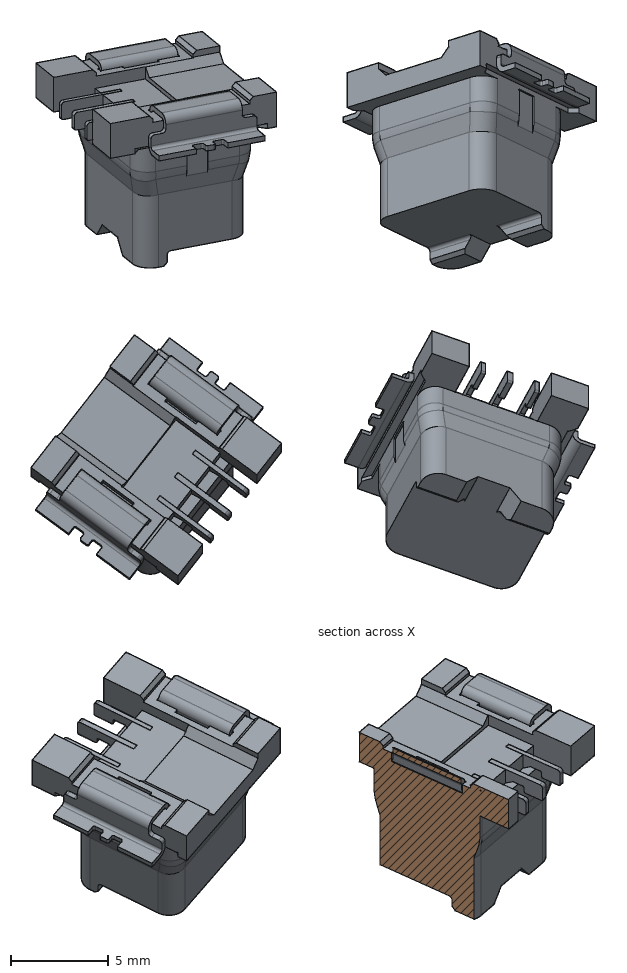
import cadquery as cq


FLANGE_TOP = 1.95
FLANGE_HALF_X = 4.41
FLANGE_BACK = 4.31
FLANGE_FRONT = -5.19
LEDGE_Z = 1.57
LEDGE_BACK = 2.78
LEDGE_FRONT = -2.75
CORNER_CHAMFER = 0.2

CHANNEL_HALF_X = 2.31
CHANNEL_FLOOR_HALF_X = 1.84
CHANNEL_SLOPE_TOP = 1.6
CHANNEL_FLOOR_Z = 1.13
PIN_FLOOR_Z = 0.89
PIN_FLOOR_BACK = 0.05
PIN_FLOOR_FRONT = -2.82

UNDERCUT_HEIGHT = 0.28
UNDERCUT_END_Y = 3.79

BODY_HALF_X = 4.0
BODY_HALF_Y = 3.4
BODY_INSET = 0.3
BODY_CORNER_R = 1.0
TAPER_TOP = -1.65
TAPER_BOTTOM = -2.88
TAPER_BLEND_R = 2.0
TAPER_OVERRUN = 0.5
RIM_TOLERANCE = 0.01
PART_HEIGHT = 8.9
BODY_BOTTOM = FLANGE_TOP - PART_HEIGHT
LIP_HEIGHT = 0.8
LIP_BACK = -1.59
LIP_EDGE = 0.2
LIP_NOTCH_TOP_HALF_X = 0.895
LIP_NOTCH_BOTTOM_HALF_X = 1.53
SIDE_FLAT_HALF_Y = 0.6
SIDE_FLAT_DEPTH = 0.09

CLIP_THICKNESS = 0.29
CLIP_OUTER_X = 4.76
CLIP_HALF_Y = 3.03
CLIP_TOP_HALF_Y = 2.19
CLIP_STEP_Z = 1.02
CLIP_STEP_R = 0.2
CLIP_BEND_R = 0.48
CLIP_TIP_X = 2.83
CLIP_FOOT_X = 5.7
CLIP_FOOT_Z = -0.05
FOOT_NOTCH_X = 5.18
FOOT_NOTCH_HALF_Y = 0.9
FOOT_TONGUE_X = 5.6
FOOT_TONGUE_HALF_Y = 0.27
FOOT_EDGE = 0.1
SLOT_FLOOR_Z = 1.0
SLOT_OUTER_X = 3.15
SLOT_HALF_Y = 2.25
SLOT_POCKET_X = 2.63
SLOT_POCKET_HALF_Y = 1.0

PIN_PITCH = 1.51
PIN_WIDTH = 0.25
MIDDLE_PIN_WIDTH = 0.3
PIN_TOP = 0.91
PIN_BACK = -1.73
PIN_TIP = FLANGE_FRONT
PIN_BOTTOM = -0.08
PIN_ARCH_Z = 0.32
PIN_ARCH_FRONT = -4.0
PIN_ARCH_BACK = -3.3
PIN_TIP_R = 0.2
PIN_FOOT_R = 0.1


def box(x0, x1, y0, y1, z0, z1):
    return cq.Workplane("XY").box(x1 - x0, y1 - y0, z1 - z0, centered=False).translate((x0, y0, z0))


def both_sides(shape):
    return shape.union(shape.mirror("YZ"))


def make_flange():
    flange = box(-FLANGE_HALF_X, FLANGE_HALF_X, FLANGE_FRONT, FLANGE_BACK, 0, FLANGE_TOP)

    chamfer_z = FLANGE_TOP - CORNER_CHAMFER
    ledge_cut = (
        cq.Workplane("YZ")
        .moveTo(LEDGE_FRONT, LEDGE_Z)
        .lineTo(LEDGE_BACK, LEDGE_Z)
        .lineTo(LEDGE_BACK, chamfer_z)
        .lineTo(LEDGE_BACK + CORNER_CHAMFER, FLANGE_TOP)
        .lineTo(LEDGE_FRONT - CORNER_CHAMFER, FLANGE_TOP)
        .lineTo(LEDGE_FRONT, chamfer_z)
        .close()
        .extrude(FLANGE_HALF_X, both=True)
    )
    channel_cut = (
        cq.Workplane("XZ", origin=(0, FLANGE_BACK, 0))
        .moveTo(-CHANNEL_HALF_X, FLANGE_TOP)
        .lineTo(-CHANNEL_HALF_X, CHANNEL_SLOPE_TOP)
        .lineTo(-CHANNEL_FLOOR_HALF_X, CHANNEL_FLOOR_Z)
        .lineTo(CHANNEL_FLOOR_HALF_X, CHANNEL_FLOOR_Z)
        .lineTo(CHANNEL_HALF_X, CHANNEL_SLOPE_TOP)
        .lineTo(CHANNEL_HALF_X, FLANGE_TOP)
        .close()
        .extrude(FLANGE_BACK - PIN_FLOOR_BACK)
    )
    pin_floor_cut = box(
        -CHANNEL_HALF_X, CHANNEL_HALF_X, FLANGE_FRONT, PIN_FLOOR_BACK, PIN_FLOOR_Z, FLANGE_TOP
    )
    front_gap = box(-CHANNEL_HALF_X, CHANNEL_HALF_X, FLANGE_FRONT, PIN_FLOOR_FRONT, 0, FLANGE_TOP)
    undercut = (
        cq.Workplane("XY")
        .moveTo(FLANGE_HALF_X, -UNDERCUT_END_Y)
        .lineTo(FLANGE_HALF_X, UNDERCUT_END_Y)
        .lineTo(BODY_HALF_X, BODY_HALF_Y)
        .lineTo(BODY_HALF_X, -BODY_HALF_Y)
        .close()
        .extrude(UNDERCUT_HEIGHT)
    )
    flange = flange.cut(ledge_cut).cut(channel_cut).cut(pin_floor_cut).cut(front_gap)
    return flange.cut(both_sides(undercut)).cut(both_sides(make_clip_slot()))


def make_clip_slot():
    slot = box(CLIP_TIP_X, SLOT_OUTER_X, -SLOT_HALF_Y, SLOT_HALF_Y, SLOT_FLOOR_Z, FLANGE_TOP)
    pocket = box(
        SLOT_POCKET_X, CLIP_TIP_X, -SLOT_POCKET_HALF_Y, SLOT_POCKET_HALF_Y, SLOT_FLOOR_Z, FLANGE_TOP
    )
    return slot.union(pocket)


def make_tapered_section():
    """Upper body with its taper, run on past TAPER_BOTTOM so that it ends inside the lower body."""
    end_z = TAPER_BOTTOM - TAPER_OVERRUN
    end_inset = BODY_INSET * (TAPER_TOP - end_z) / (TAPER_TOP - TAPER_BOTTOM)
    upper = box(-BODY_HALF_X, BODY_HALF_X, -BODY_HALF_Y, BODY_HALF_Y, TAPER_TOP, 0)
    taper = (
        cq.Workplane("XY", origin=(0, 0, TAPER_TOP))
        .rect(2 * BODY_HALF_X, 2 * BODY_HALF_Y)
        .workplane(offset=end_z - TAPER_TOP)
        .rect(2 * (BODY_HALF_X - end_inset), 2 * (BODY_HALF_Y - end_inset))
        .loft()
    )
    section = upper.union(taper)
    rim = cq.selectors.BoxSelector(
        (-2 * BODY_HALF_X, -2 * BODY_HALF_Y, TAPER_TOP - RIM_TOLERANCE),
        (2 * BODY_HALF_X, 2 * BODY_HALF_Y, TAPER_TOP + RIM_TOLERANCE),
    )
    section = section.edges(rim).fillet(TAPER_BLEND_R)
    return section.edges("not(#Z)").edges("not(|X or |Y)").fillet(BODY_CORNER_R)


def make_body():
    lower = (
        cq.Workplane("XY", origin=(0, 0, BODY_BOTTOM))
        .rect(2 * (BODY_HALF_X - BODY_INSET), 2 * (BODY_HALF_Y - BODY_INSET))
        .extrude(TAPER_TOP - BODY_BOTTOM)
        .edges("|Z")
        .fillet(BODY_CORNER_R)
    )
    body = make_tapered_section().union(lower)
    return body.cut(make_rear_step()).cut(make_lip_notch()).cut(make_side_flats())


def make_rear_step():
    step_z = BODY_BOTTOM + LIP_HEIGHT
    return (
        cq.Workplane("YZ")
        .moveTo(BODY_HALF_Y, step_z)
        .lineTo(LIP_BACK + LIP_EDGE, step_z)
        .radiusArc((LIP_BACK, step_z - LIP_EDGE), -LIP_EDGE)
        .lineTo(LIP_BACK, BODY_BOTTOM + LIP_EDGE)
        .lineTo(LIP_BACK - LIP_EDGE, BODY_BOTTOM)
        .lineTo(BODY_HALF_Y, BODY_BOTTOM)
        .close()
        .extrude(BODY_HALF_X, both=True)
    )


def make_lip_notch():
    notch_z = BODY_BOTTOM + LIP_HEIGHT
    return (
        cq.Workplane("XZ")
        .moveTo(-LIP_NOTCH_BOTTOM_HALF_X, BODY_BOTTOM)
        .lineTo(-LIP_NOTCH_TOP_HALF_X, notch_z)
        .lineTo(LIP_NOTCH_TOP_HALF_X, notch_z)
        .lineTo(LIP_NOTCH_BOTTOM_HALF_X, BODY_BOTTOM)
        .close()
        .extrude(BODY_HALF_Y)
    )


def make_side_flats():
    flat = box(
        BODY_HALF_X - SIDE_FLAT_DEPTH, BODY_HALF_X, -SIDE_FLAT_HALF_Y, SIDE_FLAT_HALF_Y, TAPER_BOTTOM, 0
    )
    return both_sides(flat)


def make_clip():
    """Bent sheet clip on the +X side: hook tip, flat top, upright plate and solder foot."""
    inner_r = CLIP_BEND_R - CLIP_THICKNESS
    plate_inner_x = CLIP_OUTER_X - CLIP_THICKNESS
    foot_top = CLIP_FOOT_Z + CLIP_THICKNESS
    under_top = FLANGE_TOP - CLIP_THICKNESS
    bend_z = FLANGE_TOP - CLIP_BEND_R
    tip_inner_x = CLIP_TIP_X + CLIP_THICKNESS
    strip = (
        cq.Workplane("XZ")
        .moveTo(CLIP_TIP_X, SLOT_FLOOR_Z)
        .lineTo(CLIP_TIP_X, bend_z)
        .radiusArc((CLIP_TIP_X + CLIP_BEND_R, FLANGE_TOP), CLIP_BEND_R)
        .lineTo(CLIP_OUTER_X - CLIP_BEND_R, FLANGE_TOP)
        .radiusArc((CLIP_OUTER_X, bend_z), CLIP_BEND_R)
        .lineTo(CLIP_OUTER_X, foot_top + inner_r)
        .radiusArc((CLIP_OUTER_X + inner_r, foot_top), -inner_r)
        .lineTo(CLIP_FOOT_X, foot_top)
        .lineTo(CLIP_FOOT_X, CLIP_FOOT_Z)
        .lineTo(plate_inner_x + CLIP_BEND_R, CLIP_FOOT_Z)
        .radiusArc((plate_inner_x, CLIP_FOOT_Z + CLIP_BEND_R), CLIP_BEND_R)
        .lineTo(plate_inner_x, bend_z)
        .radiusArc((plate_inner_x - inner_r, under_top), -inner_r)
        .lineTo(tip_inner_x + inner_r, under_top)
        .radiusArc((tip_inner_x, bend_z), -inner_r)
        .lineTo(tip_inner_x, SLOT_FLOOR_Z)
        .close()
        .extrude(CLIP_HALF_Y, both=True)
    )
    return strip.intersect(make_clip_side_outline()).cut(make_foot_notch())


def make_clip_side_outline():
    step_y = CLIP_TOP_HALF_Y + CLIP_STEP_R
    wide = (
        cq.Workplane("XY", origin=(0, 0, CLIP_FOOT_Z))
        .rect(2 * CLIP_FOOT_X, 2 * CLIP_HALF_Y)
        .extrude(CLIP_STEP_Z - CLIP_FOOT_Z)
        .edges("|X and >Z")
        .fillet(CLIP_STEP_R)
    )
    narrow = box(-CLIP_FOOT_X, CLIP_FOOT_X, -CLIP_TOP_HALF_Y, CLIP_TOP_HALF_Y, SLOT_FLOOR_Z, FLANGE_TOP)
    step_corner = (
        cq.Workplane("YZ")
        .moveTo(CLIP_TOP_HALF_Y, CLIP_STEP_Z)
        .lineTo(step_y, CLIP_STEP_Z)
        .radiusArc((CLIP_TOP_HALF_Y, CLIP_STEP_Z + CLIP_STEP_R), CLIP_STEP_R)
        .close()
        .extrude(CLIP_FOOT_X, both=True)
    )
    return wide.union(narrow).union(step_corner).union(step_corner.mirror("XZ"))


def make_foot_notch():
    foot_top = CLIP_FOOT_Z + CLIP_THICKNESS
    notch = box(
        FOOT_NOTCH_X, CLIP_FOOT_X, -FOOT_NOTCH_HALF_Y, FOOT_NOTCH_HALF_Y, CLIP_FOOT_Z, foot_top
    )
    tongue = box(
        FOOT_NOTCH_X, FOOT_TONGUE_X, -FOOT_TONGUE_HALF_Y, FOOT_TONGUE_HALF_Y, CLIP_FOOT_Z, foot_top
    ).edges("|Z and >X").fillet(FOOT_EDGE)
    return notch.cut(tongue).edges("|Z and <X").fillet(FOOT_EDGE)


def make_pin(center_x, width):
    """Flat pin with an arched underside, standing on a foot at its front end."""
    arch_corner_y = PIN_ARCH_FRONT + PIN_FOOT_R
    return (
        cq.Workplane("YZ", origin=(center_x, 0, 0))
        .moveTo(PIN_BACK, PIN_TOP)
        .lineTo(PIN_TIP + PIN_TIP_R, PIN_TOP)
        .radiusArc((PIN_TIP, PIN_TOP - PIN_TIP_R), -PIN_TIP_R)
        .lineTo(PIN_TIP, PIN_BOTTOM + PIN_FOOT_R)
        .radiusArc((PIN_TIP + PIN_FOOT_R, PIN_BOTTOM), -PIN_FOOT_R)
        .lineTo(PIN_ARCH_FRONT - PIN_FOOT_R, PIN_BOTTOM)
        .radiusArc((PIN_ARCH_FRONT, PIN_BOTTOM + PIN_FOOT_R), -PIN_FOOT_R)
        .lineTo(PIN_ARCH_FRONT, PIN_ARCH_Z - PIN_FOOT_R)
        .radiusArc((arch_corner_y, PIN_ARCH_Z), PIN_FOOT_R)
        .lineTo(PIN_ARCH_BACK, PIN_ARCH_Z)
        .lineTo(PIN_FLOOR_FRONT, 0)
        .lineTo(PIN_BACK, 0)
        .close()
        .extrude(width / 2, both=True)
    )


result = make_flange().union(make_body()).union(both_sides(make_clip()))
for pin_x, pin_width in ((-PIN_PITCH, PIN_WIDTH), (0, MIDDLE_PIN_WIDTH), (PIN_PITCH, PIN_WIDTH)):
    result = result.union(make_pin(pin_x, pin_width))